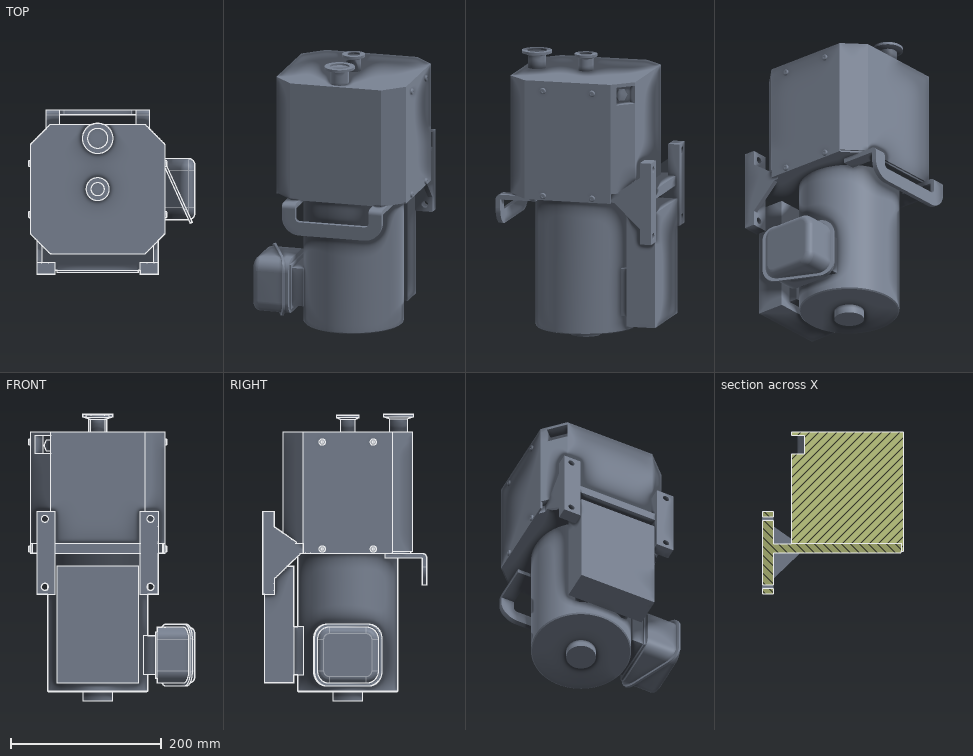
import cadquery as cq
import math


plate_bottom = 195.8
plate_thickness = 13.0
plate_top = plate_bottom + plate_thickness
housing_top = 356.5
housing_half_x = 89.5
housing_half_y = 86.0
corner_chamfer = 26.5
wall = 2.3
rear_skirt_gap = 2.3
side_half_y = housing_half_y - corner_chamfer
front_half_x = housing_half_x - corner_chamfer

window_width = 28.5
window_height = 24.0
window_depth = 15.0
window_centre_z = 340.0
nut_across_flats = 15.0
nut_height = 3.8
nut_drop = 1.0

screw_radius = 4.0
screw_height = 2.3
screw_rounding = 1.5
socket_radius = 1.5
socket_depth = 1.0
screw_y = 34.0
screw_heights = (201.5, 343.5)

overall_height = 380.2
inlet_y = 67.3
inlet_flange_radius = 20.0
inlet_pipe_radius = 12.0
inlet_recess_radius = 13.3
exhaust_y = 0
exhaust_drop = 1.0
exhaust_flange_radius = 15.2
exhaust_pipe_radius = 10.0
exhaust_recess_radius = 8.7
flange_rim = 3.5
flange_taper = 2.5
recess_depth = 2.3

leg_half_span = 80.5
leg_width = 24.5
leg_front = 113.0
leg_depth = 15.5
leg_back = leg_front - leg_depth
leg_bottom = 141.5
leg_top = 251.5
leg_hole_diameter = 9.0
leg_hole_inset_x = 10.5
leg_hole_inset_z = 10.0
web_thickness = 6.5
web_upper_z = 231.0
web_lower_z = 162.0
web_upper_y = 65.5
web_lower_y = 62.0
web_root_y = 56.0
plate_front = 107.5

motor_radius = 66.5
motor_bottom = 11.8
motor_chamfer = 1.5
shaft_radius = 19.8

control_half_x = 54.0
control_back = 71.5
control_front = 110.5
control_bottom = 24.0
control_top = 178.7
control_pad_back = 59.0
control_pad_half_x = 38.0
control_pad_bottom = 34.5
control_pad_top = 98.5

terminal_z = 61.0
terminal_pad_start = 61.0
terminal_collar_start = 76.5
terminal_start = 78.7
terminal_end = 129.0
terminal_width = 81.5
terminal_height = 74.5
terminal_corner = 16.5
terminal_end_rounding = 8.7
terminal_pad_width = 61.0
terminal_pad_height = 51.7
terminal_collar_width = 68.5
terminal_collar_height = 61.5
seal_thickness = 3.0
seal_length = 98.0
seal_height = 82.0
seal_corner = 19.0
seal_tilt = 24.4

handle_half_x = 69.0
handle_strip = 18.2
handle_thickness = 6.5
handle_back = 105.0
handle_start = 49.5
handle_bottom = 153.5
handle_corner = 24.0


def block(x_range, y_range, z_range):
    """Box between the given limits."""
    size = [high - low for low, high in (x_range, y_range, z_range)]
    low_corner = (x_range[0], y_range[0], z_range[0])
    return cq.Workplane("XY").box(*size, centered=False).translate(low_corner)


def octagon(inset, bottom, top):
    """Prism with the housing's chamfered outline, offset inwards by inset."""
    cut = corner_chamfer - inset * (2 - math.sqrt(2))
    prism = (
        cq.Workplane("XY", origin=(0, 0, bottom))
        .rect(2 * (housing_half_x - inset), 2 * (housing_half_y - inset))
        .extrude(top - bottom)
    )
    return prism.edges("|Z").chamfer(cut)


def skirt():
    """Side walls down to the plate underside, and a slightly shorter rear wall."""
    ring = octagon(0, plate_bottom, plate_top).cut(octagon(wall, plate_bottom, plate_top))
    sides = ring.intersect(block(
        (-housing_half_x, housing_half_x), (-side_half_y, side_half_y), (plate_bottom, plate_top)))
    rear = ring.intersect(block(
        (-housing_half_x, housing_half_x), (side_half_y, housing_half_y),
        (plate_bottom + rear_skirt_gap, plate_top)))
    return sides.union(rear)


def port(y, top, flange_radius, pipe_radius, recess_radius):
    """Pipe stub with a tapered flange and a shallow recess in its end."""
    rim_bottom = top - flange_rim
    taper_bottom = rim_bottom - flange_taper
    profile = [
        (0, housing_top), (pipe_radius, housing_top), (pipe_radius, taper_bottom),
        (flange_radius, rim_bottom), (flange_radius, top), (recess_radius, top),
        (recess_radius, top - recess_depth), (0, top - recess_depth),
    ]
    return cq.Workplane("XZ").polyline(profile).close().revolve().translate((0, y, 0))


def screw(side, y, z):
    """Rounded screw head with a hexagon socket; side is -1 or +1 along X."""
    plane = cq.Plane(origin=(side * housing_half_x, y, z), xDir=(0, 1, 0), normal=(side, 0, 0))
    head = cq.Workplane(plane).circle(screw_radius).extrude(screw_height)
    head = head.faces(cq.selectors.DirectionMinMaxSelector(cq.Vector(side, 0, 0))).edges()
    head = head.fillet(screw_rounding)
    socket = (
        cq.Workplane(plane).workplane(offset=screw_height - socket_depth)
        .polygon(6, 2 * socket_radius).extrude(socket_depth)
    )
    return head.cut(socket)


def window_plane():
    """Plane on the front left chamfer, centred on the window; X along the face, Y down."""
    half_run = window_width / 2 / math.sqrt(2)
    centre = (-front_half_x - half_run, -housing_half_y + half_run, window_centre_z)
    return cq.Plane(origin=centre, xDir=(1, -1, 0), normal=(1, 1, 0))


def make_housing():
    """Chamfered housing with its skirt, corner window, ports and side screws."""
    housing = octagon(0, plate_top, housing_top).union(skirt())
    window = cq.Workplane(window_plane()).rect(window_width, window_height).extrude(window_depth)
    nut = (
        cq.Workplane(window_plane()).workplane(offset=window_depth - nut_height)
        .center(0, nut_drop).polygon(6, nut_across_flats / math.cos(math.pi / 6)).extrude(nut_height)
    )
    housing = housing.cut(window).union(nut)
    inlet = port(inlet_y, overall_height, inlet_flange_radius, inlet_pipe_radius, inlet_recess_radius)
    exhaust = port(
        exhaust_y, overall_height - exhaust_drop,
        exhaust_flange_radius, exhaust_pipe_radius, exhaust_recess_radius)
    housing = housing.union(inlet).union(exhaust)
    for side in (-1, 1):
        for y in (-screw_y, screw_y):
            for z in screw_heights:
                housing = housing.union(screw(side, y, z))
    return housing


def leg(side):
    """Drilled mounting bar with a tapered web back to the plate; side is -1 or +1."""
    outer = side * leg_half_span
    inner = side * (leg_half_span - leg_width)
    bar = block(sorted((outer, inner)), (-leg_front, -leg_back), (leg_bottom, leg_top))
    hole_x = side * (leg_half_span - leg_hole_inset_x)
    for z in (leg_bottom + leg_hole_inset_z, leg_top - leg_hole_inset_z):
        hole = (
            cq.Workplane("XZ", origin=(hole_x, 0, z))
            .circle(leg_hole_diameter / 2).extrude(leg_front)
        )
        bar = bar.cut(hole)
    web = (
        cq.Workplane("YZ", origin=(outer, 0, 0))
        .polyline([
            (-leg_back, web_upper_z), (-web_upper_y, plate_top), (-web_root_y, plate_top),
            (-web_root_y, plate_bottom), (-web_lower_y, plate_bottom), (-leg_back, web_lower_z)])
        .close().extrude(-side * web_thickness)
    )
    web = web.cut(octagon(0, plate_top, housing_top))
    return bar.union(web)


def base_plate():
    """Plate inside the housing skirt, with 45 degree front corners and a tongue between the legs."""
    half_x = housing_half_x - wall
    corner_y = web_root_y - (half_x - leg_half_span)
    tongue = (
        cq.Workplane("XY", origin=(0, 0, plate_bottom))
        .polyline([
            (-half_x, 0), (-half_x, -corner_y), (-leg_half_span, -web_root_y), (-leg_half_span, -plate_front),
            (leg_half_span, -plate_front), (leg_half_span, -web_root_y), (half_x, -corner_y), (half_x, 0)])
        .close().extrude(plate_thickness)
    )
    rear = octagon(wall, plate_bottom, plate_top).intersect(
        block((-half_x, half_x), (0, housing_half_y), (plate_bottom, plate_top)))
    return rear.union(tongue).clean()


def motor():
    """Motor barrel with the shaft stub below it."""
    barrel = (
        cq.Workplane("XY", origin=(0, 0, motor_bottom))
        .circle(motor_radius).extrude(plate_bottom - motor_bottom)
        .faces("<Z").edges().chamfer(motor_chamfer)
    )
    return barrel.union(cq.Workplane("XY").circle(shaft_radius).extrude(plate_bottom))


def control_box():
    """Flat case joined to the front of the motor by a pad."""
    case = block(
        (-control_half_x, control_half_x), (-control_front, -control_back), (control_bottom, control_top))
    pad = block(
        (-control_pad_half_x, control_pad_half_x), (-control_back, -control_pad_back),
        (control_pad_bottom, control_pad_top))
    return case.union(pad)


def terminal_slab(start, end, width, height):
    """Block centred on the terminal box axis, between two x positions."""
    return cq.Workplane("YZ", origin=(start, 0, terminal_z)).rect(width, height).extrude(end - start)


def terminal_box():
    """Rounded case on a pad and collar, with a slanted seal plate through its middle."""
    case = terminal_slab(terminal_start, terminal_end, terminal_width, terminal_height)
    case = case.edges("|X").fillet(terminal_corner)
    case = case.faces(">X").edges().fillet(terminal_end_rounding)
    collar = terminal_slab(
        terminal_collar_start, terminal_start, terminal_collar_width, terminal_collar_height)
    pad = terminal_slab(
        terminal_pad_start, terminal_collar_start, terminal_pad_width, terminal_pad_height)
    seal_centre = ((terminal_start + terminal_end) / 2, 0, terminal_z)
    seal = (
        cq.Workplane("XY").box(seal_thickness, seal_length, seal_height)
        .edges("|X").fillet(seal_corner)
        .rotate((0, 0, 0), (0, 0, 1), seal_tilt).translate(seal_centre)
    )
    return case.union(collar).union(pad).union(seal)


def make_pump_frame():
    """Base plate with the motor, legs, control box and terminal box."""
    frame = base_plate().union(motor())
    for side in (-1, 1):
        frame = frame.union(leg(side))
    return frame.union(control_box()).union(terminal_box())


def make_handle():
    """U-shaped strip, bent down behind the plate from two arms under it."""
    inner_half_x = handle_half_x - handle_strip
    profile = (
        cq.Workplane("YZ", origin=(-handle_half_x, 0, 0))
        .polyline([
            (handle_start, plate_bottom), (handle_back, plate_bottom), (handle_back, handle_bottom),
            (handle_back - handle_thickness, handle_bottom),
            (handle_back - handle_thickness, plate_bottom - handle_thickness),
            (handle_start, plate_bottom - handle_thickness)])
        .close().extrude(2 * handle_half_x)
    )
    bent = profile.edges("|X and >Y and >Z").fillet(handle_thickness)
    bent = bent.edges("|Y and <Z").fillet(handle_corner)
    opening = block(
        (-inner_half_x, inner_half_x), (handle_start, handle_back),
        (handle_bottom + handle_strip, plate_bottom))
    opening = opening.edges("|Y and <Z").fillet(handle_corner - handle_strip)
    return bent.cut(opening)


housing = make_housing()
pump_frame = make_pump_frame()
handle = make_handle()

result = cq.Compound.makeCompound([body.solids().val() for body in (housing, pump_frame, handle)])